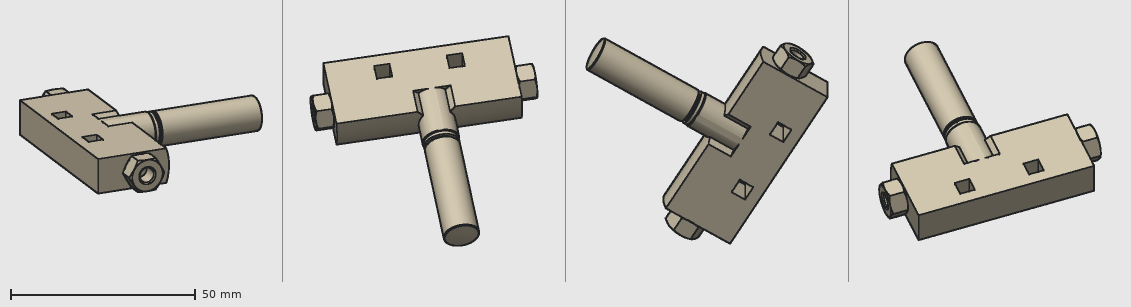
import cadquery as cq
import math

total_width = 61.0
total_depth = 59.9
thickness = 10.0

nut_length = 5.0
body_width = total_width - 2 * nut_length
body_depth = 21.2
back_edge_y = 20.4

square_side = 4.3
square_spacing = 20.0
square_y = 5.5

nut_y = 12.45
nut_across_flats = 9.15
nut_face_diameter = 9.0
nut_chamfer_angle = 30.0
nut_bore_diameter = 4.15
nut_bore_mouth_diameter = 5.0

stem_x = -2.0
stem_radius = 10.2 / 2
stem_end_y = 27.7
stem_chamfer = 0.3
handle_radius = 9.8 / 2
groove_radius = 8.0 / 2
groove_start_y = 28.75
groove_end_y = 29.15
handle_start_y = 29.35
handle_chamfer = 0.3
dome_start_y = 59.2
dome_edge_chamfer = 0.25

notch_start_y = 13.3
notch_top_half_width = 5.2


def make_body():
    """Block with a slightly bulged back face."""
    half = thickness / 2
    return (
        cq.Workplane("YZ")
        .moveTo(0, -half)
        .lineTo(back_edge_y, -half)
        .threePointArc((body_depth, 0), (back_edge_y, half))
        .lineTo(0, half)
        .close()
        .extrude(body_width / 2, both=True)
    )


def make_notches():
    """45 degree sided notches that open to the top, bottom and back of the body."""
    half = thickness / 2
    apex_z = half - notch_top_half_width
    wedge = (
        cq.Workplane("XZ", origin=(stem_x, notch_start_y, 0))
        .polyline([(0, apex_z), (notch_top_half_width, half), (-notch_top_half_width, half)])
        .close()
        .extrude(-(body_depth - notch_start_y))
    )
    return wedge.union(wedge.mirror("XY"))


def make_stem_and_handle():
    """Turned stem, groove and domed handle, with the stem flattened to the body thickness."""
    rim_radius = handle_radius - dome_edge_chamfer
    dome_edge_y = dome_start_y + dome_edge_chamfer
    dome_height = total_depth - dome_edge_y
    dome_radius = (rim_radius**2 + dome_height**2) / (2 * dome_height)
    arc_mid_x = rim_radius / 2
    arc_mid_y = total_depth - dome_radius + math.sqrt(dome_radius**2 - arc_mid_x**2)
    turned = (
        cq.Workplane("XY", origin=(stem_x, 0, 0))
        .moveTo(0, notch_start_y)
        .lineTo(stem_radius, notch_start_y)
        .lineTo(stem_radius, stem_end_y - stem_chamfer)
        .lineTo(handle_radius, stem_end_y)
        .lineTo(handle_radius, groove_start_y)
        .lineTo(groove_radius, groove_start_y)
        .lineTo(groove_radius, groove_end_y)
        .lineTo(handle_radius - handle_chamfer, handle_start_y)
        .lineTo(handle_radius, handle_start_y + handle_chamfer)
        .lineTo(handle_radius, dome_start_y)
        .lineTo(rim_radius, dome_edge_y)
        .threePointArc((arc_mid_x, arc_mid_y), (0, total_depth))
        .close()
        .revolve(360, (0, 0, 0), (0, 1, 0))
    )
    slab = cq.Workplane("XY").box(total_width, 2 * total_depth, thickness)
    return turned.intersect(slab)


def make_nut():
    """Bored hexagonal nut on the +X end, with chamfered corners at both faces."""
    start_x = body_width / 2
    end_x = total_width / 2
    corner_radius = nut_across_flats / math.sqrt(3)
    face_radius = nut_face_diameter / 2
    chamfer_length = (corner_radius - face_radius) * math.tan(math.radians(nut_chamfer_angle))
    hexagon = (
        cq.Workplane("YZ", origin=(start_x, nut_y, 0))
        .polygon(6, 2 * corner_radius)
        .extrude(nut_length)
    )
    envelope = (
        cq.Workplane("XY", origin=(0, nut_y, 0))
        .polyline([
            (start_x, 0),
            (start_x, face_radius),
            (start_x + chamfer_length, corner_radius),
            (end_x - chamfer_length, corner_radius),
            (end_x, face_radius),
            (end_x, 0),
        ])
        .close()
        .revolve(360, (0, 0, 0), (1, 0, 0))
    )
    bore_radius = nut_bore_diameter / 2
    mouth_radius = nut_bore_mouth_diameter / 2
    bore = (
        cq.Workplane("XY", origin=(0, nut_y, 0))
        .polyline([
            (start_x, 0),
            (start_x, bore_radius),
            (end_x - (mouth_radius - bore_radius), bore_radius),
            (end_x, mouth_radius),
            (end_x, 0),
        ])
        .close()
        .revolve(360, (0, 0, 0), (1, 0, 0))
    )
    return hexagon.intersect(envelope).cut(bore)


def make_square_holes():
    """Pair of square holes through the body thickness."""
    return (
        cq.Workplane("XY", origin=(0, square_y, 0))
        .rarray(square_spacing, 0.6, 2, 1)
        .rect(square_side, square_side)
        .extrude(thickness, both=True)
    )


nut = make_nut()
result = (
    make_body()
    .cut(make_notches())
    .union(make_stem_and_handle())
    .cut(make_square_holes())
    .union(nut)
    .union(nut.mirror("YZ"))
)